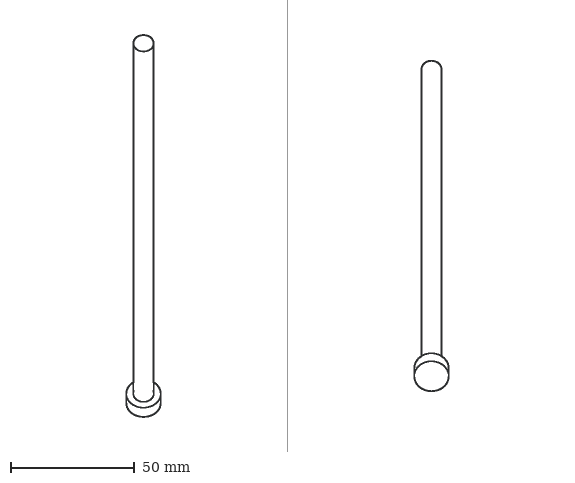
import cadquery as cq

total_length = 250.0
head_diameter = 14.0
head_height = 6.5
shank_diameter = 8.2

head = cq.Workplane("XY").circle(head_diameter / 2).extrude(head_height)
shank = cq.Workplane("XY").circle(shank_diameter / 2).extrude(total_length)

result = head.union(shank)